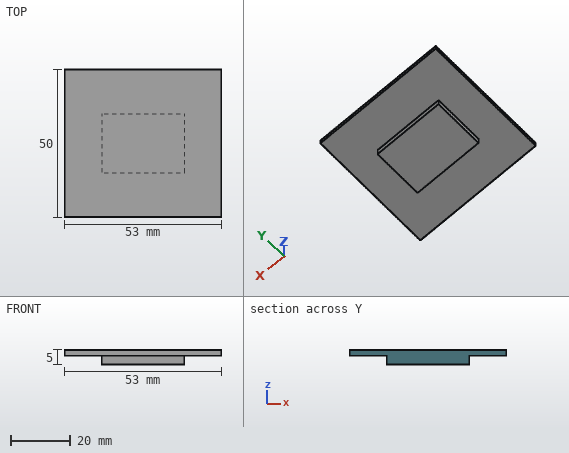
import cadquery as cq

plate_length = 53.0
plate_width = 50.0
total_height = 5.0
plate_thickness = 2.0

block_length = 28.0
block_width = 20.0
block_height = total_height - plate_thickness

block = cq.Workplane("XY").rect(block_length, block_width).extrude(block_height)
plate = (
    cq.Workplane("XY")
    .workplane(offset=block_height)
    .rect(plate_length, plate_width)
    .extrude(plate_thickness)
)

result = block.union(plate)